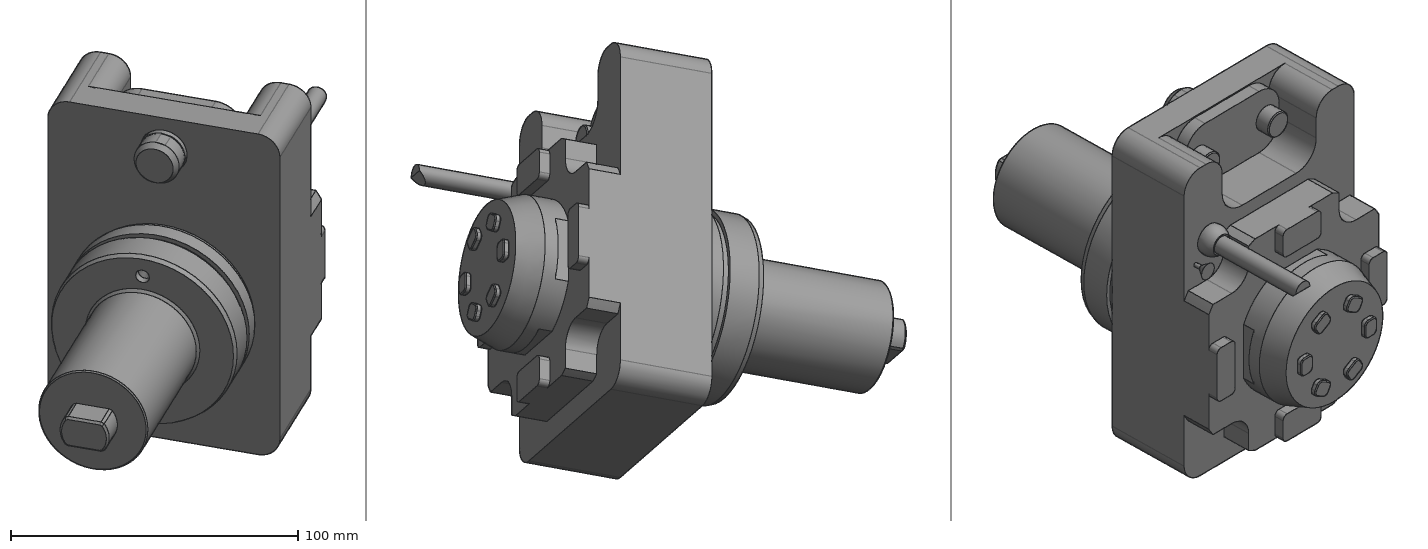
import cadquery as cq
import math


WIDTH = 85.0
TOP_Z = 77.0
BOTTOM_Z = -54.0
BLOCK_DEPTH = 35.0
PLATE_THICKNESS = 12.0
CORNER_R = 8.0

SLOT_WIDTH = 47.0
SLOT_CORNER_R = 10.0

COVER_BACK_Y = 47.0
COVER_HEIGHT = 90.0
COVER_DIA = 98.0
NOTCH_X = 22.6
NOTCH_Z = 27.7
NOTCH_R = 8.5

KEY_HEIGHT = 4.0
KEY_INNER = 33.5
KEY_R = 2.0
TOP_KEY_WIDTH = 19.0
SIDE_KEY_WIDTH = 22.6

NIPPLE_X = 36.8
NIPPLE_Z = 37.0
NIPPLE_STEM_DIA = 1.7
NIPPLE_NECK_DIA = 2.1
NIPPLE_STEM_LENGTH = 2.8
NIPPLE_HEAD_DIA = 6.37
NIPPLE_LENGTH = 6.0

STUD_BORE_DIA = 17.0
STUD_DIA = 16.5
STUD_BASE_DIA = 15.8
STUD_TIP_DIA = 13.6
STUD_BASE_LENGTH = 1.7
STUD_TIP_LENGTH = 2.3
STUD_LENGTH = 10.4
STUD_FLAT_OFFSET = 8.06
STUD_FLAT_ANGLE = 10.0

RETAINER_THICKNESS = 5.0
RETAINER_TOP_Z = 76.5
RETAINER_BOTTOM_Z = 50.5
STUD_Z = (RETAINER_TOP_Z + RETAINER_BOTTOM_Z) / 2

BOLT_X = 17.0
BOLT_HEAD_DIA = 10.0
BOLT_HEAD_HEIGHT = 6.0
BOLT_HEAD_CHAMFER = 0.4
BOLT_DIA = 6.0
BOLT_THREAD_DEPTH = 8.0

FLANGE_DIA = 68.0
FLANGE_LENGTH = 24.0
FLANGE_TAPER_LENGTH = 2.0
FLANGE_TAPER_DROP = 0.7
GROOVE_NEAR = 8.3
GROOVE_FAR = 10.9
GROOVE_DEPTH = 1.6
SHAFT_DIA = 40.0
SHAFT_END = 80.0
SHAFT_CHAMFER = 0.5
ROOT_CHAMFER = 1.0
TANG_DIA = 18.0
TANG_FLATS = 12.0
TANG_LENGTH = 10.0
TANG_CHAMFER = 0.8
TANG_EDGE_CHAMFER = 0.7
DIMPLE_DIA = 5.0
DIMPLE_Z = 26.3
DIMPLE_DEPTH = 3.0
DIMPLE_CONE = 1.5

CAP_DIA = 55.2
CAP_END_DIA = 48.4
CAP_SKIRT_LENGTH = 10.0
CAP_LENGTH = 19.7
CAP_NOTCH_WIDTH = 23.4
CAP_NOTCH_HEIGHT = 5.0
CAP_NOTCH_FLOOR = 25.1
PAD_COUNT = 6
PAD_CIRCLE_R = 16.0
PAD_RADIAL = 6.0
PAD_TANGENTIAL = 7.5
PAD_R = 2.0
PAD_CHAMFER = 0.4
PAD_HEIGHT = 2.3

CABLE_X = 30.0
CABLE_Z = 44.9
CABLE_DIA = 7.0
CABLE_END_Y = 80.5
CABLE_CUT_LENGTH = 3.5
GROMMET_DIA = 11.57
GROMMET_HEIGHT = 6.0
GROMMET_SPHERE_DIA = 12.0


def plane_at(y, x=0.0, z=0.0):
    """Plane square to the tool axis at height y; its local axes are X, Z and -Y."""
    return cq.Workplane("XZ", origin=(x, y, z))


def box(x0, x1, y0, y1, z0, z1):
    """Box given by its limits along each axis."""
    return cq.Workplane("XY").box(x1 - x0, y1 - y0, z1 - z0, centered=False).translate((x0, y0, z0))


def cylinder(diameter, y0, y1, x=0.0, z=0.0):
    """Round bar along Y from y0 up to y1."""
    return plane_at(y1, x, z).circle(diameter / 2).extrude(y1 - y0)


def turned(points, x=0.0, z=0.0):
    """Solid of revolution about a line along Y, from (radius, y) points."""
    body = cq.Workplane("XY").polyline(points).close().revolve(360, (0, 0), (0, 1))
    return body.translate((x, 0, z))


def make_block():
    """Main block: a full front plate with a slot behind it that leaves two rounded side walls."""
    block = box(-WIDTH / 2, WIDTH / 2, 0, BLOCK_DEPTH, BOTTOM_Z, TOP_Z)
    block = block.edges("|Y").fillet(CORNER_R)

    slot = box(-SLOT_WIDTH / 2, SLOT_WIDTH / 2, PLATE_THICKNESS, BLOCK_DEPTH,
               RETAINER_BOTTOM_Z, TOP_Z)
    slot = slot.edges("|Y and <Z").fillet(SLOT_CORNER_R)
    block = block.cut(slot)

    for side in (-1, 1):
        inner = side * SLOT_WIDTH / 2
        outer = side * (SLOT_WIDTH / 2 + CORNER_R)
        corner = box(min(inner, outer), max(inner, outer), PLATE_THICKNESS, BLOCK_DEPTH,
                     TOP_Z - CORNER_R, TOP_Z)
        rounding = cylinder(2 * CORNER_R, PLATE_THICKNESS, BLOCK_DEPTH, outer, TOP_Z - CORNER_R)
        block = block.cut(corner.cut(rounding))
    return block


def make_cover():
    """Rear cover with four round-bottomed corner notches and four keys."""
    half_width = WIDTH / 2
    half_height = COVER_HEIGHT / 2
    cover = box(-half_width, half_width, BLOCK_DEPTH, COVER_BACK_Y, -half_height, half_height)
    cover = cover.intersect(cylinder(COVER_DIA, BLOCK_DEPTH, COVER_BACK_Y))
    notch_size = COVER_DIA / 2
    for side in (-1, 1):
        for level in (-1, 1):
            notch = cq.Workplane("XZ").rect(notch_size, notch_size).extrude(BLOCK_DEPTH - COVER_BACK_Y)
            notch = notch.edges("|Y").fillet(NOTCH_R)
            notch = notch.translate((side * (NOTCH_X + notch_size / 2), BLOCK_DEPTH,
                                     level * (NOTCH_Z + notch_size / 2)))
            cover = cover.cut(notch)

    for side in (-1, 1):
        cover = cover.union(make_key(half_width - KEY_INNER, SIDE_KEY_WIDTH,
                                     side * (half_width + KEY_INNER) / 2, 0))
        cover = cover.union(make_key(TOP_KEY_WIDTH, half_height - KEY_INNER,
                                     0, side * (half_height + KEY_INNER) / 2))
    return cover


def make_key(x_size, z_size, x, z):
    """Rounded rectangular key on the rear face of the cover."""
    key = plane_at(COVER_BACK_Y, x, z).rect(x_size, z_size).extrude(-KEY_HEIGHT)
    return key.edges("|Y").fillet(KEY_R)


def make_nipple():
    """Thin stem that flares into a conical head."""
    return turned([
        (0, BLOCK_DEPTH),
        (NIPPLE_STEM_DIA / 2, BLOCK_DEPTH),
        (NIPPLE_STEM_DIA / 2, BLOCK_DEPTH + NIPPLE_STEM_LENGTH),
        (NIPPLE_NECK_DIA / 2, BLOCK_DEPTH + NIPPLE_STEM_LENGTH),
        (NIPPLE_HEAD_DIA / 2, BLOCK_DEPTH + NIPPLE_LENGTH),
        (0, BLOCK_DEPTH + NIPPLE_LENGTH),
    ], NIPPLE_X, NIPPLE_Z)


def make_housing():
    """Block, rear cover and nipple in one, with bores for the stud and the bolts."""
    housing = make_block().union(make_cover()).union(make_nipple())
    housing = housing.cut(cylinder(STUD_BORE_DIA, 0, PLATE_THICKNESS, 0, STUD_Z))
    for side in (-1, 1):
        housing = housing.cut(cylinder(BOLT_DIA, PLATE_THICKNESS - BOLT_THREAD_DEPTH,
                                       PLATE_THICKNESS, side * BOLT_X, STUD_Z))
    return housing


def make_retainer():
    """Plate in the slot that closes the stud bore and carries the bolts."""
    seat = PLATE_THICKNESS + RETAINER_THICKNESS
    retainer = box(-SLOT_WIDTH / 2, SLOT_WIDTH / 2, PLATE_THICKNESS, seat,
                   RETAINER_BOTTOM_Z, RETAINER_TOP_Z)
    retainer = retainer.edges("|Y").fillet(SLOT_CORNER_R)
    for side in (-1, 1):
        retainer = retainer.cut(cylinder(BOLT_DIA, PLATE_THICKNESS, seat, side * BOLT_X, STUD_Z))
    return retainer


def make_bolt(x):
    """Bolt with a round head, through the retainer into the housing."""
    seat = PLATE_THICKNESS + RETAINER_THICKNESS
    head = cylinder(BOLT_HEAD_DIA, seat, seat + BOLT_HEAD_HEIGHT, x, STUD_Z)
    head = head.faces(">Y").chamfer(BOLT_HEAD_CHAMFER)
    thread = cylinder(BOLT_DIA, PLATE_THICKNESS - BOLT_THREAD_DEPTH, seat, x, STUD_Z)
    return head.union(thread)


def make_stud():
    """Stud with a slimmer base, a tapered tip and one narrow flat."""
    tip_start = -(STUD_LENGTH - STUD_TIP_LENGTH)
    stud = turned([
        (0, PLATE_THICKNESS),
        (STUD_BASE_DIA / 2, PLATE_THICKNESS),
        (STUD_BASE_DIA / 2, -STUD_BASE_LENGTH),
        (STUD_DIA / 2, -STUD_BASE_LENGTH),
        (STUD_DIA / 2, tip_start),
        (STUD_TIP_DIA / 2, -STUD_LENGTH),
        (0, -STUD_LENGTH),
    ])
    flat = box(-STUD_DIA, STUD_DIA, tip_start, -STUD_BASE_LENGTH, STUD_FLAT_OFFSET, STUD_DIA)
    flat = flat.rotate((0, 0, 0), (0, 1, 0), STUD_FLAT_ANGLE)
    return stud.cut(flat).translate((0, 0, STUD_Z))


def make_shank():
    """Grooved flange, round shaft and flatted drive tang."""
    flange_r = FLANGE_DIA / 2
    taper_r = flange_r - FLANGE_TAPER_DROP
    groove_r = flange_r - GROOVE_DEPTH
    shaft_r = SHAFT_DIA / 2
    shank = turned([
        (0, 0),
        (taper_r, 0),
        (flange_r, -FLANGE_TAPER_LENGTH),
        (flange_r, -GROOVE_NEAR),
        (groove_r, -GROOVE_NEAR),
        (groove_r, -GROOVE_FAR),
        (flange_r, -GROOVE_FAR),
        (flange_r, FLANGE_TAPER_LENGTH - FLANGE_LENGTH),
        (taper_r, -FLANGE_LENGTH),
        (shaft_r + ROOT_CHAMFER, -FLANGE_LENGTH),
        (shaft_r, -FLANGE_LENGTH - ROOT_CHAMFER),
        (shaft_r, SHAFT_CHAMFER - SHAFT_END),
        (shaft_r - SHAFT_CHAMFER, -SHAFT_END),
        (0, -SHAFT_END),
    ])

    tang_end = -SHAFT_END - TANG_LENGTH
    tang = cylinder(TANG_DIA, tang_end, -SHAFT_END)
    tang = tang.intersect(box(-TANG_DIA, TANG_DIA, tang_end, -SHAFT_END,
                              -TANG_FLATS / 2, TANG_FLATS / 2))
    tang = tang.edges("|Y").chamfer(TANG_EDGE_CHAMFER).faces("<Y").chamfer(TANG_CHAMFER)

    dimple = turned([
        (0, -FLANGE_LENGTH),
        (DIMPLE_DIA / 2, -FLANGE_LENGTH),
        (DIMPLE_DIA / 2, DIMPLE_DEPTH - FLANGE_LENGTH),
        (0, DIMPLE_DEPTH + DIMPLE_CONE - FLANGE_LENGTH),
    ], 0, DIMPLE_Z)
    return shank.union(tang).cut(dimple)


def make_cap():
    """Cap with a cylindrical skirt, a conical end, four skirt notches and a ring of pads."""
    end_y = COVER_BACK_Y + CAP_LENGTH
    cap = turned([
        (0, COVER_BACK_Y),
        (CAP_DIA / 2, COVER_BACK_Y),
        (CAP_DIA / 2, COVER_BACK_Y + CAP_SKIRT_LENGTH),
        (CAP_END_DIA / 2, end_y),
        (0, end_y),
    ])
    notch = box(CAP_NOTCH_FLOOR, CAP_DIA, COVER_BACK_Y, COVER_BACK_Y + CAP_NOTCH_HEIGHT,
                -CAP_NOTCH_WIDTH / 2, CAP_NOTCH_WIDTH / 2)
    for quarter in range(4):
        cap = cap.cut(notch.rotate((0, 0, 0), (0, 1, 0), 90 * quarter))

    pad = plane_at(end_y, PAD_CIRCLE_R).rect(PAD_RADIAL, PAD_TANGENTIAL).extrude(-PAD_HEIGHT)
    pad = pad.edges("|Y").fillet(PAD_R).faces("<Y or >Y").chamfer(PAD_CHAMFER)
    for index in range(PAD_COUNT):
        cap = cap.union(pad.rotate((0, 0, 0), (0, 1, 0), 360 / PAD_COUNT * index))
    return cap


def make_cable():
    """Cable leaving a grommet shaped as a slice of a sphere, with its end cut off at a slant."""
    grommet_top = BLOCK_DEPTH + GROMMET_HEIGHT
    sphere_r = GROMMET_SPHERE_DIA / 2
    sphere_y = BLOCK_DEPTH + math.sqrt(sphere_r ** 2 - (GROMMET_DIA / 2) ** 2)
    sphere = cq.Workplane("XY").sphere(sphere_r).translate((CABLE_X, sphere_y, CABLE_Z))
    grommet = sphere.intersect(cylinder(GROMMET_SPHERE_DIA, BLOCK_DEPTH, grommet_top, CABLE_X, CABLE_Z))
    cable = cylinder(CABLE_DIA, BLOCK_DEPTH, CABLE_END_Y, CABLE_X, CABLE_Z)
    slant = (
        cq.Workplane("YZ", origin=(CABLE_X, 0, CABLE_Z))
        .moveTo(CABLE_END_Y, 0)
        .lineTo(CABLE_END_Y, -CABLE_DIA / 2)
        .lineTo(CABLE_END_Y - CABLE_CUT_LENGTH, -CABLE_DIA / 2)
        .close()
        .extrude(CABLE_DIA, both=True)
    )
    return grommet.union(cable.cut(slant))


housing = make_housing()
shank = make_shank()
stud = make_stud()
retainer = make_retainer()
bolts = [make_bolt(side * BOLT_X) for side in (-1, 1)]
cap = make_cap()
cable = make_cable()

result = cq.Compound.makeCompound([
    housing.val(),
    shank.val(),
    stud.val(),
    retainer.val(),
    *[bolt.val() for bolt in bolts],
    cap.val(),
    cable.val(),
])